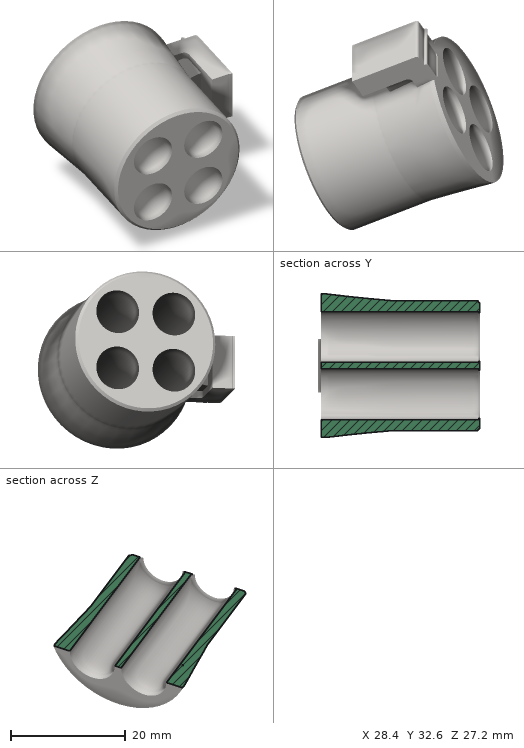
import cadquery as cq
import math

body_length = 27.88
front_radius = 13.58
rear_radius = 12.5
band_length = 0.88
flare_end = 12.2
rear_chamfer = 0.5

bore_offset = 5.0
bore_radius = 4.4
exit_radius = 3.8
cone_slope = 30
cone_depth = (bore_radius - exit_radius) * math.tan(math.radians(cone_slope))

tab_width = 9.38
tab_top = 19.0
arm_length = 12.85
arm_thickness = 3.97
leg_thickness = 3.5
tab_root = 9.77
inner_fillet = 0.98
corner_fillet = 0.5
arm_underside = tab_top - arm_thickness

lip_length = 0.1
lip_height = 0.5

bead_reach = 0.52
bead_radius = 0.33
bead_center = 16.32
bead_root = 0.33

rib_end = 8.85
rib_root_width = 5.2
rib_draft = 10
rib_rise = arm_underside - tab_root
rib_arm_width = rib_root_width + 2 * rib_rise * math.tan(math.radians(rib_draft))

label_height = 6.05
label_width = 3.97
label_center = 13.55
label_depth = 0.2
label_corner = 0.5


def make_body():
    """Cylinder that flares towards the front, ending in a short straight band."""
    profile = (
        cq.Workplane("XY")
        .lineTo(0, front_radius)
        .lineTo(band_length, front_radius)
        .lineTo(flare_end, rear_radius)
        .lineTo(body_length - rear_chamfer, rear_radius)
        .lineTo(body_length, rear_radius - rear_chamfer)
        .lineTo(body_length, 0)
        .close()
    )
    return profile.revolve(360, (0, 0, 0), (1, 0, 0))


def make_tab():
    """L-shaped hook: a leg rising from the body and an arm running back along X."""
    profile = (
        cq.Workplane("XY")
        .moveTo(0, tab_root)
        .lineTo(0, tab_top)
        .lineTo(arm_length + lip_length, tab_top)
        .lineTo(arm_length + lip_length, tab_top - lip_height)
        .lineTo(arm_length, tab_top - lip_height)
        .lineTo(arm_length, arm_underside)
        .lineTo(leg_thickness, arm_underside)
        .lineTo(leg_thickness, tab_root)
        .close()
    )
    tab = profile.extrude(tab_width / 2, both=True)
    front_corner = cq.selectors.NearestToPointSelector((0, tab_top, 0))
    inner_corner = cq.selectors.NearestToPointSelector((leg_thickness, arm_underside, 0))
    tab = tab.edges("|Z").edges(front_corner).fillet(corner_fillet)
    return tab.edges("|Z").edges(inner_corner).fillet(inner_fillet)


def make_bead():
    """Bead on the tab's front face, its nose made of two quarter rounds meeting at the tip."""
    nose_start = bead_radius - bead_reach
    shoulder = bead_radius * math.sqrt(0.5)
    shoulder_x = nose_start - shoulder
    profile = (
        cq.Workplane("XY")
        .moveTo(bead_root, bead_center - bead_radius)
        .lineTo(nose_start, bead_center - bead_radius)
        .threePointArc((shoulder_x, bead_center - shoulder), (-bead_reach, bead_center))
        .threePointArc((shoulder_x, bead_center + shoulder), (nose_start, bead_center + bead_radius))
        .lineTo(bead_root, bead_center + bead_radius)
        .close()
    )
    return profile.extrude(tab_width / 2, both=True)


def make_rib():
    """Rib joining the body to the arm, widening slightly towards the arm."""
    profile = (
        cq.Workplane("YZ")
        .moveTo(tab_root, -rib_root_width / 2)
        .lineTo(arm_underside, -rib_arm_width / 2)
        .lineTo(arm_underside, rib_arm_width / 2)
        .lineTo(tab_root, rib_root_width / 2)
        .close()
    )
    return profile.extrude(rib_end)


def make_bore(y, z):
    """Straight bore from the front that narrows by a cone at the rear face."""
    profile = (
        cq.Workplane("XY")
        .lineTo(0, bore_radius)
        .lineTo(body_length - cone_depth, bore_radius)
        .lineTo(body_length, exit_radius)
        .lineTo(body_length, 0)
        .close()
    )
    return profile.revolve(360, (0, 0, 0), (1, 0, 0)).translate((0, y, z))


def make_label_recess():
    """Rounded rectangle sunk into the front face at the foot of the tab."""
    recess = cq.Workplane("YZ").center(label_center, 0).rect(label_width, label_height).extrude(label_depth)
    return recess.edges("|X").fillet(label_corner)


result = make_body().union(make_tab()).union(make_bead()).union(make_rib())
for y in (-bore_offset, bore_offset):
    for z in (-bore_offset, bore_offset):
        result = result.cut(make_bore(y, z))
result = result.cut(make_label_recess())